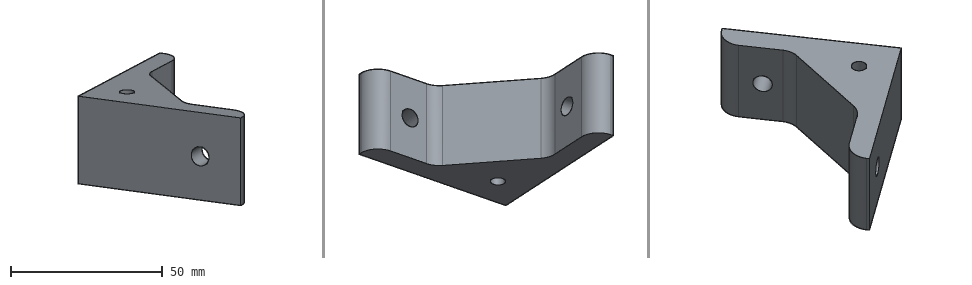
import cadquery as cq

leg_length = 60.0
height = 30.0
leg_thickness = 8.0

web_reach = 35.3

tip_radius = 7.0
web_blend_radius = 7.0

leg_hole_diameter = 6.5
leg_hole_offset = 45.0
corner_hole_diameter = 5.0
corner_hole_offset = 12.0


def make_body():
    """L-shaped bracket with a web in the corner, rounded at the tips and web ends."""
    body = (
        cq.Workplane("XY")
        .moveTo(0, 0)
        .lineTo(leg_length, 0)
        .lineTo(leg_length, leg_thickness)
        .lineTo(web_reach, leg_thickness)
        .lineTo(leg_thickness, web_reach)
        .lineTo(leg_thickness, leg_length)
        .lineTo(0, leg_length)
        .close()
        .extrude(height)
    )
    mid_height = height / 2
    tips = [(leg_length, leg_thickness, mid_height), (leg_thickness, leg_length, mid_height)]
    web_ends = [(web_reach, leg_thickness, mid_height), (leg_thickness, web_reach, mid_height)]
    for corners, radius in ((tips, tip_radius), (web_ends, web_blend_radius)):
        for corner in corners:
            body = body.edges(cq.selectors.NearestToPointSelector(corner)).fillet(radius)
    return body


def make_hole(diameter, length, start, direction):
    """Cylinder that cuts a through hole from start along direction."""
    return cq.Workplane(
        cq.Solid.makeCylinder(diameter / 2, length, cq.Vector(*start), cq.Vector(*direction))
    )


result = make_body()

result = result.cut(
    make_hole(leg_hole_diameter, leg_thickness, (leg_hole_offset, 0, height / 2), (0, 1, 0))
)
result = result.cut(
    make_hole(leg_hole_diameter, leg_thickness, (0, leg_hole_offset, height / 2), (1, 0, 0))
)

result = result.cut(
    make_hole(corner_hole_diameter, height, (corner_hole_offset, corner_hole_offset, 0), (0, 0, 1))
)